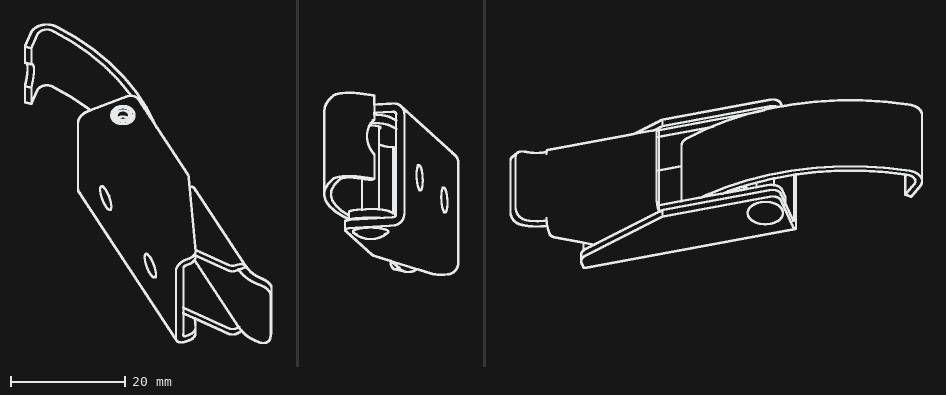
import cadquery as cq
import math


base_length = 38.4
base_width = 22.0
base_sheet = 1.5
base_bend_radius = 2.0
flange_height = 11.1
flange_slope_start = 21.2
flange_slope_angle = 22.4
flange_left_radius = 1.5
flange_right_radius = 2.0
mounting_hole_diameter = 4.4
mounting_hole_positions = (10.9, 28.4)

pivot_x = 3.6
pivot_y = 7.0
rivet_length = 23.6
rivet_diameter = 3.0
rivet_head_diameter = 6.2
rivet_head_height = 1.2
flare_diameter = 4.1
flare_height = rivet_length - base_width - rivet_head_height
flare_chamfer = 0.2
rivet_bore_diameter = 2.2
rivet_bore_depth = 2.0
rivet_bore_point_angle = 118.0
rivet_bore_chamfer = 0.35

lever_width = 18.5
lever_sheet = 1.5
lever_inner_width = lever_width - 2 * lever_sheet
lever_top = 12.0
lever_bend_radius = 2.0
lever_bend_start = lever_top - lever_bend_radius
lever_hole_diameter = 3.4
plate_start = 22.0
plate_end = 42.1
ear_left = 0.1
ear_top = lever_top - lever_sheet
ear_clearance = 0.1
ear_bottom = base_sheet + ear_clearance
ear_corner_radius = 2.0
ear_nose_radius = 3.5
ear_nose_y = 6.75
ear_underside_angle = 10.0
ear_rear_angle = 32.5
ear_rear_corner_y = 9.2
ear_rear_radius = 1.4
tab_inner_radius = 6.0
tab_tip_y = 14.51
tab_corner_radius = 2.0

strip_width = 15.0
strip_sheet = 1.2
arch_radius = 44.0
arch_center = (-0.8, -31.1)
arch_left_tilt = -29.8
arch_right_tilt = 24.35
hook_bend_radius = 1.8
tail_bend_radius = 1.5
hook_end_tilt = -135.0
hook_straight = 3.25
tail_end_tilt = 90.0
notch_radius = 4.0
notch_depth = 1.5


def polar(center, radius, tilt):
    """Point at a radius from a centre, in a direction tilted from +Y towards +X."""
    angle = math.radians(tilt)
    return (center[0] + radius * math.sin(angle), center[1] + radius * math.cos(angle))


def arc_ends(center, radius, start_tilt, end_tilt):
    """Middle and end points of an arc, in the order that threePointArc takes them."""
    middle_tilt = (start_tilt + end_tilt) / 2
    return (polar(center, radius, middle_tilt), polar(center, radius, end_tilt))


def z_cylinder(x, y, diameter, length):
    """Cylinder along Z, centred on Z = 0."""
    return cq.Workplane("XY").center(x, y).circle(diameter / 2).extrude(length / 2, both=True)


def make_base():
    inner_width = base_width - 2 * base_sheet
    channel = (
        cq.Workplane("XY")
        .box(base_length, flange_height, base_width, centered=(False, False, True))
        .edges("|X and <Y")
        .fillet(base_bend_radius)
    )
    cavity = (
        cq.Workplane("XY")
        .box(base_length, flange_height, inner_width, centered=(False, False, True))
        .edges("|X and <Y")
        .fillet(base_bend_radius - base_sheet)
        .translate((0, base_sheet, 0))
    )
    slope_drop = (base_length - flange_slope_start) * math.tan(math.radians(flange_slope_angle))
    side = (
        cq.Workplane("XY")
        .polyline([
            (0, 0),
            (base_length, 0),
            (base_length, flange_height - slope_drop),
            (flange_slope_start, flange_height),
            (0, flange_height),
        ])
        .close()
        .extrude(base_width / 2, both=True)
    )
    side = side.edges("|Z and <X and >Y").fillet(flange_left_radius)
    rear_corner = cq.selectors.NearestToPointSelector((base_length, flange_height - slope_drop, 0))
    side = side.edges("|Z").edges(rear_corner).fillet(flange_right_radius)
    holes = (
        cq.Workplane("XZ")
        .pushPoints([(x, 0) for x in mounting_hole_positions])
        .circle(mounting_hole_diameter / 2)
        .extrude(-2 * base_sheet)
    )
    rivet_hole = z_cylinder(pivot_x, pivot_y, rivet_diameter, base_width)
    return channel.cut(cavity).intersect(side).cut(holes).cut(rivet_hole)


def make_rivet():
    """Shank with a domed head below the base and a hollow flared end above it."""
    shank_radius = rivet_diameter / 2
    head_radius = rivet_head_diameter / 2
    flare_radius = flare_diameter / 2
    bore_radius = rivet_bore_diameter / 2
    seat = base_width / 2
    top = seat + flare_height
    point_depth = bore_radius / math.tan(math.radians(rivet_bore_point_angle / 2))
    dome_radius = (head_radius**2 + rivet_head_height**2) / (2 * rivet_head_height)
    half_angle = math.asin(head_radius / dome_radius) / 2
    dome_center = dome_radius - seat - rivet_head_height
    dome_middle = (
        dome_radius * math.sin(half_angle),
        dome_center - dome_radius * math.cos(half_angle),
    )
    profile = (
        cq.Workplane("XZ")
        .moveTo(0, -seat - rivet_head_height)
        .threePointArc(dome_middle, (head_radius, -seat))
        .lineTo(shank_radius, -seat)
        .lineTo(shank_radius, seat)
        .lineTo(flare_radius, seat)
        .lineTo(flare_radius - flare_chamfer, top)
        .lineTo(bore_radius + rivet_bore_chamfer, top)
        .lineTo(bore_radius, top - rivet_bore_chamfer)
        .lineTo(bore_radius, top - rivet_bore_depth)
        .lineTo(0, top - rivet_bore_depth - point_depth)
        .close()
    )
    return profile.revolve(360, (0, 0, 0), (0, 1, 0)).translate((pivot_x, pivot_y, 0))


def make_ear():
    """One lever ear, lying on Z = 0 and one sheet thick."""
    nose_center = (ear_left + ear_nose_radius, ear_nose_y)
    underside_tilt = 180 + ear_underside_angle
    nose_middle, nose_end = arc_ends(nose_center, ear_nose_radius, 270, underside_tilt)
    underside_run = (nose_end[1] - ear_bottom) / math.tan(math.radians(ear_underside_angle))
    rear_run = (ear_rear_corner_y - ear_bottom) / math.tan(math.radians(ear_rear_angle))
    ear = (
        cq.Workplane("XY")
        .moveTo(ear_left, ear_top)
        .lineTo(ear_left, ear_nose_y)
        .threePointArc(nose_middle, nose_end)
        .lineTo(nose_end[0] + underside_run, ear_bottom)
        .lineTo(plate_end - rear_run, ear_bottom)
        .lineTo(plate_end, ear_rear_corner_y)
        .lineTo(plate_end, lever_bend_start)
        .lineTo(plate_start, lever_bend_start)
        .lineTo(plate_start, ear_top)
        .close()
        .extrude(lever_sheet)
    )
    ear = ear.edges("|Z and <X and >Y").fillet(ear_corner_radius)
    rear_corner = cq.selectors.NearestToPointSelector((plate_end, ear_rear_corner_y, lever_sheet / 2))
    return ear.edges("|Z").edges(rear_corner).fillet(ear_rear_radius)


def make_plate():
    """Lever plate with the two bends that lead down into the ears."""
    half_width = lever_width / 2
    half_inside = lever_inner_width / 2
    left_center = (lever_bend_radius - half_width, lever_bend_start)
    right_center = (half_width - lever_bend_radius, lever_bend_start)
    section = (
        cq.Workplane("ZY")
        .moveTo(-half_width, lever_bend_start)
        .threePointArc(*arc_ends(left_center, lever_bend_radius, -90, 0))
        .lineTo(*polar(right_center, lever_bend_radius, 0))
        .threePointArc(*arc_ends(right_center, lever_bend_radius, 0, 90))
        .lineTo(half_inside, lever_bend_start)
        .lineTo(half_inside, ear_top)
        .lineTo(-half_inside, ear_top)
        .lineTo(-half_inside, lever_bend_start)
        .close()
    )
    return section.extrude(plate_start - plate_end).translate((plate_start, 0, 0))


def make_tab():
    """Finger tab that curls up from the end of the plate."""
    center = (plate_end, lever_top + tab_inner_radius)
    outer_radius = tab_inner_radius + lever_sheet
    sweep = math.degrees(math.acos(1 - (tab_tip_y - lever_top) / tab_inner_radius))
    end_tilt = 180 - sweep
    top_middle, top_end = arc_ends(center, tab_inner_radius, 180, end_tilt)
    under_middle, under_start = arc_ends(center, outer_radius, end_tilt, 180)
    tab = (
        cq.Workplane("XY")
        .moveTo(plate_end, lever_top)
        .threePointArc(top_middle, top_end)
        .lineTo(*polar(center, outer_radius, end_tilt))
        .threePointArc(under_middle, under_start)
        .close()
        .extrude(lever_inner_width / 2, both=True)
    )
    thickness_direction = cq.Vector(*polar((0, 0), 1, end_tilt), 0)
    corners = cq.selectors.ParallelDirSelector(thickness_direction)
    return tab.edges(corners).fillet(tab_corner_radius)


def make_lever():
    lever = make_plate().union(make_tab())
    ear = make_ear()
    for ear_z in (-lever_width / 2, lever_inner_width / 2):
        lever = lever.union(ear.translate((0, 0, ear_z)))
    return lever.cut(z_cylinder(pivot_x, pivot_y, lever_hole_diameter, base_width))


def make_strip():
    """Arched spring strip with a catch hook on the left and a turned-down right end."""
    hook_outer = hook_bend_radius + strip_sheet
    tail_outer = tail_bend_radius + strip_sheet
    arch_inner = arch_radius - strip_sheet
    hook_center = polar(arch_center, arch_radius - hook_outer, arch_left_tilt)
    tail_center = polar(arch_center, arch_radius - tail_outer, arch_right_tilt)
    along_hook = hook_end_tilt - 90
    outer_tip = polar(polar(hook_center, hook_outer, hook_end_tilt), hook_straight, along_hook)
    inner_tip = polar(polar(hook_center, hook_bend_radius, hook_end_tilt), hook_straight, along_hook)
    strip = (
        cq.Workplane("XY")
        .moveTo(*outer_tip)
        .lineTo(*polar(hook_center, hook_outer, hook_end_tilt))
        .threePointArc(*arc_ends(hook_center, hook_outer, hook_end_tilt, arch_left_tilt))
        .threePointArc(*arc_ends(arch_center, arch_radius, arch_left_tilt, arch_right_tilt))
        .threePointArc(*arc_ends(tail_center, tail_outer, arch_right_tilt, tail_end_tilt))
        .lineTo(*polar(tail_center, tail_bend_radius, tail_end_tilt))
        .threePointArc(*arc_ends(tail_center, tail_bend_radius, tail_end_tilt, arch_right_tilt))
        .threePointArc(*arc_ends(arch_center, arch_inner, arch_right_tilt, arch_left_tilt))
        .threePointArc(*arc_ends(hook_center, hook_bend_radius, arch_left_tilt, hook_end_tilt))
        .lineTo(*inner_tip)
        .close()
        .extrude(strip_width / 2, both=True)
    )
    notch_center = polar(outer_tip, notch_radius - notch_depth, along_hook)
    notch_plane = cq.Plane(
        origin=(*notch_center, 0),
        xDir=(0, 0, 1),
        normal=(*polar((0, 0), 1, hook_end_tilt), 0),
    )
    notch = cq.Workplane(notch_plane).circle(notch_radius).extrude(2 * strip_sheet, both=True)
    return strip.cut(notch)


base = make_base()
rivet = make_rivet()
lever = make_lever()
strip = make_strip()

result = cq.Compound.makeCompound([base.val(), rivet.val(), lever.val(), strip.val()])